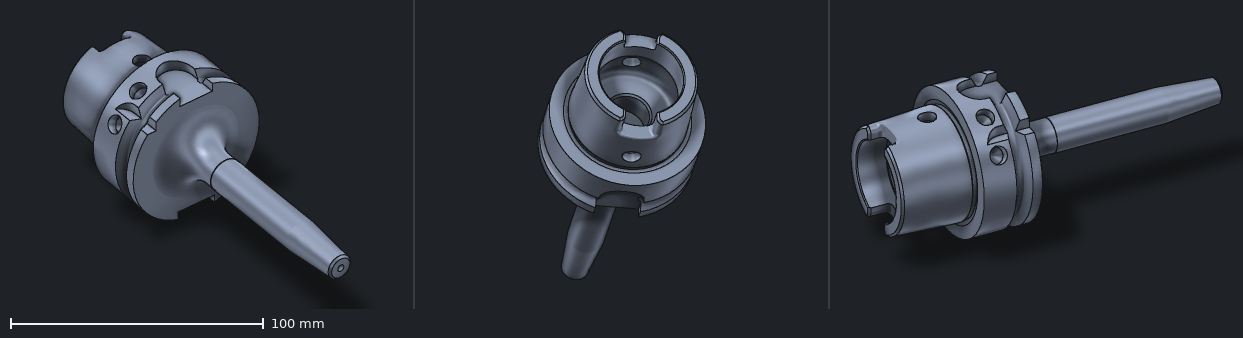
import cadquery as cq
import math


SHANK_LENGTH = 32.0
GAUGE_X = -6.3
GAUGE_RADIUS = 24.0
TAPER_SLOPE = 0.05
TAPER_END_X = -2.4
SHANK_TIP_CHAMFER = 1.0
TAPER_LAND_END_X = -1.5
NECK_RADIUS = 23.7
FACE_RELIEF_RADIUS = 25.8
FACE_RELIEF_DEPTH = 0.8

MOUTH_RADIUS = 17.0
MOUTH_CHAMFER = 0.5
MOUTH_DEPTH = 13.2
CLAMP_RADIUS = 20.0
CLAMP_CONE_ANGLE = math.radians(60)
CLAMP_CONE_LENGTH = (CLAMP_RADIUS - MOUTH_RADIUS) / math.tan(CLAMP_CONE_ANGLE)
CAVITY_FLOOR_X = -2.0
CAVITY_FLOOR_RADIUS = 15.75
THREAD_RADIUS = 8.65
THREAD_CHAMFER = 0.85
THREAD_DEPTH = 12.0
COOLANT_RADIUS = 1.5
COOLANT_MOUTH_RADIUS = 2.7

FLANGE_RADIUS = 31.5
FLANGE_LENGTH = 26.0
GROOVE_X = 18.1
GROOVE_RADIUS = 27.5
GROOVE_HALF_WIDTH = 3.6
GROOVE_FLANK_ANGLE = math.radians(30)
GROOVE_FILLET = 1.0

ROOT_FILLET = 14.0
ROOT_RADIUS = 7.3
ROOT_END_X = 45.0
NOSE_RADIUS = 7.5
NOSE_CONE_X = 94.5
NOSE_CONE_ANGLE = math.radians(4.5)
NOSE_END_X = 120.0
NOSE_TIP_CHAMFER = 1.0

DRIVE_HALF_WIDTH = 6.27
DRIVE_FLARE_Z = 18.1
DRIVE_FLARE_RADIUS = 3.0
DRIVE_CORNER_FILLET = 1.8
DRIVE_MOUTH_CHAMFER = 1.0
DRIVE_RIM_FILLET = 1.1
UPPER_DRIVE_DEPTH = 6.0
LOWER_DRIVE_DEPTH = 9.9

ACCESS_X = -9.25
ACCESS_DIAMETER = 7.5

KEYWAY_START_X = 5.0
KEYWAY_FLOOR = 26.5
UPPER_KEYWAY_WIDTH = 16.0
LOWER_KEYWAY_WIDTH = 18.0
NOTCH_START_X = 4.3
NOTCH_OFFSET = 20.0
NOTCH_CUTTER_RADIUS = 8.0

BLIND_X = 8.6
BLIND_DIAMETER = 7.5
BLIND_BOTTOM_RADIUS = 27.0
BLIND_ANGLES = (30, 60)
DRILL_POINT_ANGLE = math.radians(118)

CLEARANCE = 5.0


def taper_radius(x):
    """Radius of the shank taper at a station on the axis."""
    return GAUGE_RADIUS + TAPER_SLOPE * (x - GAUGE_X)


def outer_body():
    """Shank, flange and nose as one revolved solid."""
    shank_end = -SHANK_LENGTH
    chamfer_x = shank_end + SHANK_TIP_CHAMFER
    land_radius = taper_radius(TAPER_END_X)
    cone_end_x = NOSE_END_X - NOSE_TIP_CHAMFER
    cone_end_radius = NOSE_RADIUS - (cone_end_x - NOSE_CONE_X) * math.tan(NOSE_CONE_ANGLE)
    fillet_end_x = FLANGE_LENGTH + ROOT_FILLET
    fillet_mid = ROOT_FILLET * (1 - math.sqrt(0.5))
    profile = (
        cq.Workplane("XY")
        .moveTo(shank_end, 0)
        .lineTo(shank_end, taper_radius(chamfer_x) - SHANK_TIP_CHAMFER)
        .lineTo(chamfer_x, taper_radius(chamfer_x))
        .lineTo(TAPER_END_X, land_radius)
        .lineTo(TAPER_LAND_END_X, land_radius)
        .lineTo(TAPER_LAND_END_X + land_radius - NECK_RADIUS, NECK_RADIUS)
        .lineTo(FACE_RELIEF_DEPTH, NECK_RADIUS)
        .lineTo(0, FACE_RELIEF_RADIUS)
        .lineTo(0, FLANGE_RADIUS)
        .lineTo(FLANGE_LENGTH, FLANGE_RADIUS)
        .lineTo(FLANGE_LENGTH, ROOT_RADIUS + ROOT_FILLET)
        .threePointArc(
            (FLANGE_LENGTH + fillet_mid, ROOT_RADIUS + fillet_mid),
            (fillet_end_x, ROOT_RADIUS),
        )
        .lineTo(ROOT_END_X, ROOT_RADIUS)
        .lineTo(ROOT_END_X, NOSE_RADIUS)
        .lineTo(NOSE_CONE_X, NOSE_RADIUS)
        .lineTo(cone_end_x, cone_end_radius)
        .lineTo(NOSE_END_X, cone_end_radius - NOSE_TIP_CHAMFER)
        .lineTo(NOSE_END_X, 0)
        .close()
    )
    return profile.revolve(360, (0, 0, 0), (1, 0, 0))


def gripper_groove():
    """V groove around the flange with rounded floor corners."""
    floor_half = GROOVE_HALF_WIDTH - (FLANGE_RADIUS - GROOVE_RADIUS) * math.tan(GROOVE_FLANK_ANGLE)
    profile = (
        cq.Workplane("XY")
        .moveTo(GROOVE_X - GROOVE_HALF_WIDTH, FLANGE_RADIUS)
        .lineTo(GROOVE_X - floor_half, GROOVE_RADIUS)
        .lineTo(GROOVE_X + floor_half, GROOVE_RADIUS)
        .lineTo(GROOVE_X + GROOVE_HALF_WIDTH, FLANGE_RADIUS)
        .lineTo(GROOVE_X + GROOVE_HALF_WIDTH, FLANGE_RADIUS + CLEARANCE)
        .lineTo(GROOVE_X - GROOVE_HALF_WIDTH, FLANGE_RADIUS + CLEARANCE)
        .close()
    )
    groove = profile.revolve(360, (0, 0, 0), (1, 0, 0))
    floor_edges = cq.selectors.RadiusNthSelector(0)
    return groove.edges(floor_edges).fillet(GROOVE_FILLET)


def shank_cavity():
    """Stepped clamping cavity, coolant thread bore and through coolant hole."""
    shank_end = -SHANK_LENGTH
    undercut_x = shank_end + MOUTH_DEPTH
    floor_round = CLAMP_RADIUS - CAVITY_FLOOR_RADIUS
    thread_end_x = CAVITY_FLOOR_X + THREAD_DEPTH
    coolant_cone = COOLANT_MOUTH_RADIUS - COOLANT_RADIUS
    profile = (
        cq.Workplane("XY")
        .moveTo(shank_end, 0)
        .lineTo(shank_end, MOUTH_RADIUS + MOUTH_CHAMFER)
        .lineTo(shank_end + MOUTH_CHAMFER, MOUTH_RADIUS)
        .lineTo(undercut_x, MOUTH_RADIUS)
        .lineTo(undercut_x + CLAMP_CONE_LENGTH, CLAMP_RADIUS)
        .lineTo(CAVITY_FLOOR_X - floor_round, CLAMP_RADIUS)
        .radiusArc((CAVITY_FLOOR_X, CAVITY_FLOOR_RADIUS), floor_round)
        .lineTo(CAVITY_FLOOR_X, THREAD_RADIUS + THREAD_CHAMFER)
        .lineTo(CAVITY_FLOOR_X + THREAD_CHAMFER, THREAD_RADIUS)
        .lineTo(thread_end_x, THREAD_RADIUS)
        .lineTo(thread_end_x, COOLANT_MOUTH_RADIUS)
        .lineTo(thread_end_x + coolant_cone, COOLANT_RADIUS)
        .lineTo(NOSE_END_X, COOLANT_RADIUS)
        .lineTo(NOSE_END_X, 0)
        .close()
    )
    return profile.revolve(360, (0, 0, 0), (1, 0, 0))


def drive_slot_outline(side):
    """Slot section across the axis; side is +1 for the +Z slot and -1 for the -Z slot."""
    flare_y = DRIVE_HALF_WIDTH + DRIVE_FLARE_RADIUS
    flare_top = DRIVE_FLARE_Z + DRIVE_FLARE_RADIUS
    mid = DRIVE_FLARE_RADIUS * math.sqrt(0.5)
    top = GAUGE_RADIUS + CLEARANCE
    mid_y = flare_y - mid
    mid_z = DRIVE_FLARE_Z + mid
    return (
        cq.Workplane("YZ", origin=(-SHANK_LENGTH, 0, 0))
        .moveTo(-DRIVE_HALF_WIDTH, 0)
        .lineTo(DRIVE_HALF_WIDTH, 0)
        .lineTo(DRIVE_HALF_WIDTH, side * DRIVE_FLARE_Z)
        .threePointArc((mid_y, side * mid_z), (flare_y, side * flare_top))
        .lineTo(top, side * flare_top)
        .lineTo(top, side * top)
        .lineTo(-top, side * top)
        .lineTo(-top, side * flare_top)
        .lineTo(-flare_y, side * flare_top)
        .threePointArc((-mid_y, side * mid_z), (-DRIVE_HALF_WIDTH, side * DRIVE_FLARE_Z))
        .close()
    )


def cut_drive_slot(body, side, depth):
    """Cut one drive slot with rounded floor corners, rounded outer rim and chamfered mouth."""
    slot = drive_slot_outline(side).extrude(depth)
    slot = slot.faces(">X").edges().fillet(DRIVE_CORNER_FILLET)
    body = body.cut(slot)

    floor_x = depth - SHANK_LENGTH
    rim_point = (floor_x, 0, side * taper_radius(floor_x))
    body = body.edges(cq.selectors.NearestToPointSelector(rim_point)).fillet(DRIVE_RIM_FILLET)

    mouth = drive_slot_outline(side).offset2D(DRIVE_MOUTH_CHAMFER)
    return body.cut(mouth.extrude(DRIVE_MOUTH_CHAMFER, taper=45))


def keyway(width, side):
    """Round-ended keyway in the flange, open toward the nose."""
    radius = width / 2
    centre_x = KEYWAY_START_X + radius
    plan = (
        cq.Workplane("XY", origin=(0, 0, side * KEYWAY_FLOOR))
        .moveTo(centre_x, radius)
        .threePointArc((KEYWAY_START_X, 0), (centre_x, -radius))
        .lineTo(FLANGE_LENGTH, -radius)
        .lineTo(FLANGE_LENGTH, radius)
        .close()
    )
    return plan.extrude(side * (FLANGE_RADIUS - KEYWAY_FLOOR + CLEARANCE))


def orientation_notch():
    """Corner notch in the -Y +Z part of the flange, with a rounded inner end."""
    radius = NOTCH_CUTTER_RADIUS
    centre_y = -NOTCH_OFFSET - radius
    plan = (
        cq.Workplane("XY", origin=(0, 0, NOTCH_OFFSET))
        .moveTo(FLANGE_LENGTH, -NOTCH_OFFSET)
        .lineTo(NOTCH_START_X + radius, -NOTCH_OFFSET)
        .radiusArc((NOTCH_START_X, centre_y), -radius)
        .lineTo(FLANGE_LENGTH, centre_y)
        .close()
    )
    return plan.extrude(FLANGE_RADIUS - NOTCH_OFFSET)


def blind_hole(angle):
    """Radial drilled hole, its direction turned from -Y toward +Z by the angle."""
    radius = BLIND_DIAMETER / 2
    tip_depth = radius / math.tan(DRILL_POINT_ANGLE / 2)
    drill = (
        cq.Workplane("XZ")
        .lineTo(0, BLIND_BOTTOM_RADIUS - tip_depth)
        .lineTo(radius, BLIND_BOTTOM_RADIUS)
        .lineTo(radius, FLANGE_RADIUS + CLEARANCE)
        .lineTo(0, FLANGE_RADIUS + CLEARANCE)
        .close()
        .revolve(360, (0, 0, 0), (0, 1, 0))
    )
    return drill.rotate((0, 0, 0), (1, 0, 0), 90 - angle).translate((BLIND_X, 0, 0))


def access_holes():
    """Cross hole through both walls of the shank."""
    reach = GAUGE_RADIUS + CLEARANCE
    return cq.Workplane("XY").center(ACCESS_X, 0).circle(ACCESS_DIAMETER / 2).extrude(reach, both=True)


result = outer_body().cut(gripper_groove())
result = result.cut(shank_cavity())
result = cut_drive_slot(result, 1, UPPER_DRIVE_DEPTH)
result = cut_drive_slot(result, -1, LOWER_DRIVE_DEPTH)
result = result.cut(access_holes())
result = result.cut(keyway(UPPER_KEYWAY_WIDTH, 1))
result = result.cut(keyway(LOWER_KEYWAY_WIDTH, -1))
result = result.cut(orientation_notch())
for hole_angle in BLIND_ANGLES:
    result = result.cut(blind_hole(hole_angle))